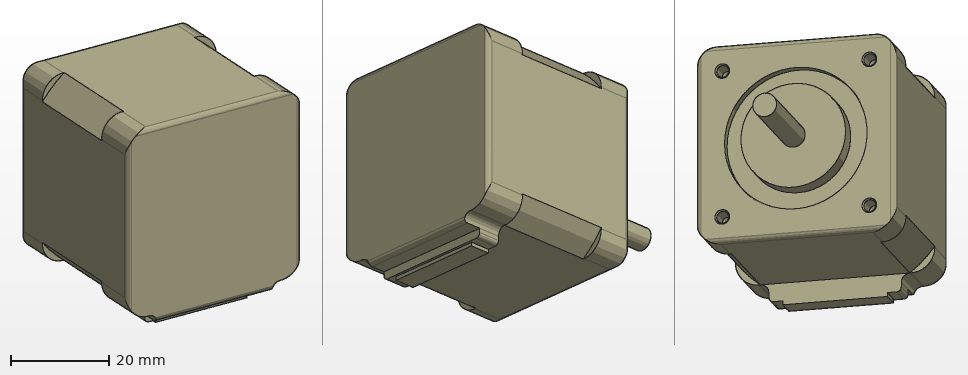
import cadquery as cq
import math

side = 42.0
half_side = side / 2
body_length = 40.0
front_cover_length = 8.0
rear_cover_length = 9.7
cover_corner_radius = 5.0
cover_edge_radius = 1.0
core_diameter = 52.5

shaft_diameter = 5.0
shaft_reach = 64 - body_length
boss_diameter = 22.0
boss_height = 2.0
recess_diameter = 30.0
recess_depth = 2.0

hole_spacing = 31.0
hole_diameter = 2.5
hole_depth = 4.5
hole_mouth_diameter = 3.1
drill_point_angle = 118

skirt_drop = 1.85
connector_width = 27.9
connector_drop = 3.8
connector_length = 5.3
connector_corner_radius = 0.95
tongue_width = 22.0
tongue_drop = 4.6
tongue_length = 4.75

rear_start = body_length - rear_cover_length
core_length = rear_start - front_cover_length


def block(start, length, width, bottom, top):
    """Box centred in Y, between two heights, starting at the given X."""
    return cq.Workplane("XY").box(length, width, top - bottom, centered=(False, True, False)).translate(
        (start, 0, bottom)
    )


def cylinder(start, length, diameter):
    """Cylinder on the motor axis."""
    return cq.Workplane("YZ", origin=(start, 0, 0)).circle(diameter / 2).extrude(length)


def square_prism(start, length):
    return block(start, length, side, -half_side, half_side)


def rounded_prism(start, length):
    return square_prism(start, length).edges("|X").fillet(cover_corner_radius)


def front_cover():
    envelope = square_prism(0, front_cover_length).faces("<X").edges().fillet(cover_edge_radius)
    return rounded_prism(0, front_cover_length).intersect(envelope)


def core():
    """Square stack whose corners are turned to a circle about the axis."""
    return square_prism(front_cover_length, core_length).intersect(
        cylinder(front_cover_length, core_length, core_diameter)
    )


def skirt():
    """Downward extension of the rear cover, with sides flaring into the cover."""
    half_width = connector_width / 2
    flare_half_width = half_width + skirt_drop
    skirt_bottom = -half_side - skirt_drop
    flare_mid_y = flare_half_width - skirt_drop * math.cos(math.pi / 4)
    flare_mid_z = skirt_bottom + skirt_drop * math.sin(math.pi / 4)
    return (
        cq.Workplane("YZ", origin=(rear_start, 0, 0))
        .moveTo(-half_width, skirt_bottom)
        .lineTo(half_width, skirt_bottom)
        .threePointArc((flare_mid_y, flare_mid_z), (flare_half_width, -half_side))
        .lineTo(flare_half_width, 0)
        .lineTo(-flare_half_width, 0)
        .lineTo(-flare_half_width, -half_side)
        .threePointArc((-flare_mid_y, flare_mid_z), (-half_width, skirt_bottom))
        .close()
        .extrude(rear_cover_length)
    )


def rear_cover():
    envelope = block(rear_start, rear_cover_length, side, -half_side - skirt_drop, half_side)
    envelope = envelope.faces(">X").edges().fillet(cover_edge_radius)
    return rounded_prism(rear_start, rear_cover_length).union(skirt()).intersect(envelope)


def connector():
    housing = block(rear_start, connector_length, connector_width, -half_side - connector_drop, -half_side)
    housing = housing.edges("|X and <Z").fillet(connector_corner_radius)
    tongue = block(rear_start, tongue_length, tongue_width, -half_side - tongue_drop, -half_side)
    return housing.union(tongue)


def mounting_hole():
    """Blind drilled hole with a 45 degree mouth and a conical bottom, along +X."""
    radius = hole_diameter / 2
    mouth_radius = hole_mouth_diameter / 2
    point_depth = radius / math.tan(math.radians(drill_point_angle / 2))
    return (
        cq.Workplane("XY")
        .polyline(
            [
                (0, 0),
                (0, mouth_radius),
                (mouth_radius - radius, radius),
                (hole_depth, radius),
                (hole_depth + point_depth, 0),
            ]
        )
        .close()
        .revolve(360, (0, 0, 0), (1, 0, 0))
    )


result = front_cover().union(core()).union(rear_cover()).union(connector())

result = result.cut(cylinder(0, recess_depth, recess_diameter))
result = result.union(cylinder(-boss_height, boss_height + recess_depth, boss_diameter))
result = result.union(cylinder(-shaft_reach, shaft_reach, shaft_diameter))

for y_sign in (-1, 1):
    for z_sign in (-1, 1):
        hole_place = (0, y_sign * hole_spacing / 2, z_sign * hole_spacing / 2)
        result = result.cut(mounting_hole().translate(hole_place))